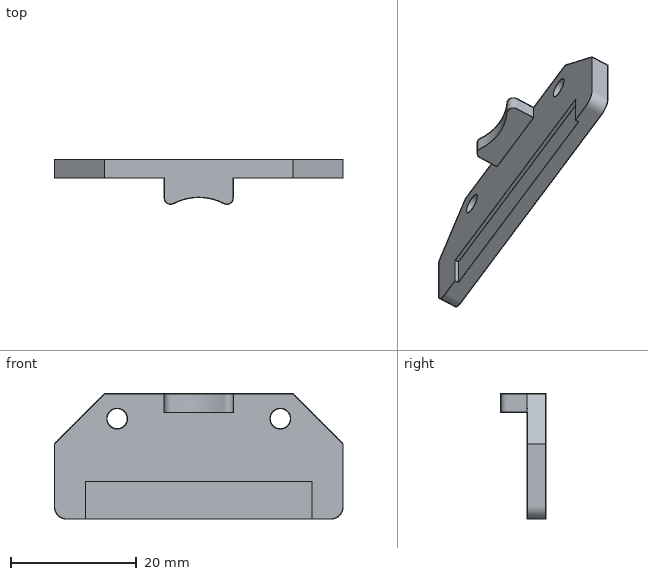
import cadquery as cq
import math

length = 46.0
height = 20.0
thickness = 3.0
top_chamfer = 8.0
bottom_radius = 2.0

hole_diameter = 3.2
hole_spacing = 26.0
hole_drop = 4.0

recess_length = 36.0
recess_height = 6.0
recess_depth = 0.6

tab_width = 11.0
tab_height = 3.0
tab_reach = 4.2
lobe_radius = 1.0
scallop_depth = 1.1


def make_plate():
    blank = cq.Workplane("XY").box(length, thickness, height, centered=(True, False, False))
    chamfered = blank.edges("|Y and >Z").chamfer(top_chamfer)
    return chamfered.edges("|Y and <Z").fillet(bottom_radius)


def make_holes():
    hole_z = height - hole_drop
    return (
        cq.Workplane("XZ")
        .pushPoints([(side * hole_spacing / 2, hole_z) for side in (-1, 1)])
        .circle(hole_diameter / 2)
        .extrude(-thickness)
    )


def make_recess():
    return cq.Workplane("XY").box(
        recess_length, recess_depth, recess_height, centered=(True, False, False)
    )


def make_tab():
    half_width = tab_width / 2
    lobe_x = half_width - lobe_radius
    lobe_y = -tab_reach + lobe_radius
    scallop_y = -tab_reach + scallop_depth

    rise = lobe_radius - scallop_depth
    scallop_radius = (lobe_x**2 + rise**2 - lobe_radius**2) / (2 * (lobe_radius - rise))

    meet_angle = math.asin(lobe_x / (scallop_radius + lobe_radius))
    meet_x = lobe_x - lobe_radius * math.sin(meet_angle)
    meet_y = lobe_y - lobe_radius * math.cos(meet_angle)

    middle_angle = (math.pi / 2 - meet_angle) / 2
    middle_x = lobe_x + lobe_radius * math.sin(middle_angle)
    middle_y = lobe_y - lobe_radius * math.cos(middle_angle)

    return (
        cq.Workplane("XY", origin=(0, 0, height - tab_height))
        .moveTo(-half_width, thickness)
        .lineTo(-half_width, lobe_y)
        .threePointArc((-middle_x, middle_y), (-meet_x, meet_y))
        .threePointArc((0, scallop_y), (meet_x, meet_y))
        .threePointArc((middle_x, middle_y), (half_width, lobe_y))
        .lineTo(half_width, thickness)
        .close()
        .extrude(tab_height)
    )


result = make_plate().cut(make_holes()).cut(make_recess()).union(make_tab()).clean()